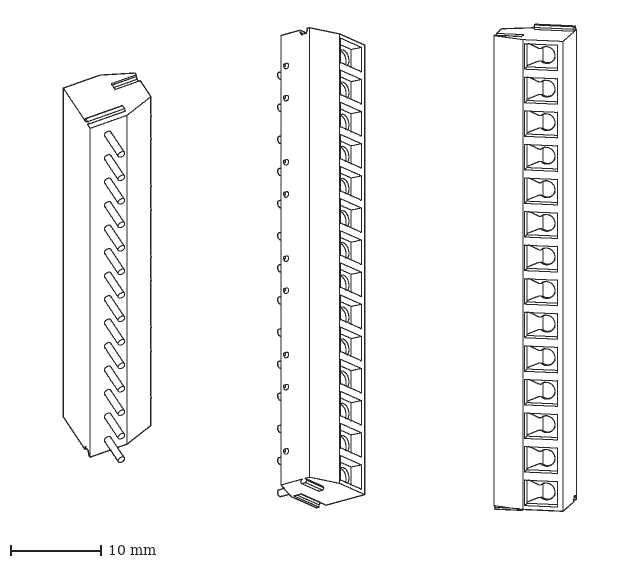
import cadquery as cq


poles = 14
body_height = 53.3
pitch = body_height / poles
body_width = 6.85
body_depth = 8.2
shoulder_y = 4.55
taper_inset = 1.4

pin_diameter = 0.8
pin_length = 3.5
pin_y = 2.2

window_height = 2.9
window_near_y = 0.65
window_floor_near_y = 0.8
window_far_y = 4.4
window_depth = 1.3

hole_radius = 0.95
funnel_mouth_height = 2.6
funnel_neck_height = 1.4
funnel_depth = 0.05
funnel_slope_end_y = 4.0
roll_off_y = 3.05
roll_off_radius = 0.355

ridge_height = 0.515
ridge_neck_width = 0.45
ridge_width = 0.85
ridge_tip_width = 0.55
ridge_widest_height = 0.25
groove_clearance = 0.05
near_rail_x = 6.0
far_rail_x = 2.25
far_rail_length = 3.1

nub_boundaries = (1, 2, 4, 5, 7, 8, 10, 11, 13)
nub_x = 4.7
nub_height = 0.3
nub_base_radius = 0.3
nub_tip_radius = 0.15


def make_body():
    outline = [
        (0, 0),
        (body_width, 0),
        (body_width, shoulder_y),
        (body_width - taper_inset, body_depth),
        (taper_inset, body_depth),
        (0, shoulder_y),
    ]
    return cq.Workplane("XY").polyline(outline).close().extrude(body_height)


def make_rail(x, y_start, y_end, base_z, half_profile):
    """Symmetric bar along Y on base_z, given by its (half width, signed height) points."""
    right_side = [(x + half_width, base_z + height) for half_width, height in half_profile]
    left_side = [(x - half_width, base_z + height) for half_width, height in reversed(half_profile)]
    profile = cq.Workplane("XZ", origin=(0, y_start, 0)).polyline(right_side + left_side).close()
    return profile.extrude(y_start - y_end)


def make_ridge(x, y_start, y_end, base_z, direction):
    """Mushroom-shaped bar that stands out in the given Z direction."""
    half_profile = [
        (ridge_neck_width / 2, 0),
        (ridge_width / 2, direction * ridge_widest_height),
        (ridge_tip_width / 2, direction * ridge_height),
    ]
    return make_rail(x, y_start, y_end, base_z, half_profile)


def make_groove(x, y_start, y_end, base_z, direction):
    """Channel with a straight mouth and a bevelled bottom that clears a ridge."""
    mouth = ridge_width / 2 + groove_clearance
    half_profile = [
        (mouth, 0),
        (mouth, direction * ridge_widest_height),
        (ridge_tip_width / 2 + groove_clearance, direction * (ridge_height + groove_clearance)),
    ]
    return make_rail(x, y_start, y_end, base_z, half_profile)


def make_window(z):
    """Pocket with a slanted wall on its -Y end."""
    outline = [
        (0, window_near_y),
        (window_depth, window_floor_near_y),
        (window_depth, window_far_y),
        (0, window_far_y),
    ]
    base = cq.Workplane("XY", origin=(0, 0, z - window_height / 2))
    return base.polyline(outline).close().extrude(window_height)


def make_entry_recess(z):
    """Funnel that slopes in from the +Y wall, then rounds down into the clamp hole."""
    funnel_x = window_depth + funnel_depth
    hole_x = funnel_x + roll_off_radius
    hole_near_y = pin_y - hole_radius

    section = (
        cq.Workplane("XY", origin=(0, 0, z - window_height / 2))
        .moveTo(window_depth, hole_near_y)
        .lineTo(hole_x, hole_near_y)
        .lineTo(hole_x, roll_off_y - roll_off_radius)
        .radiusArc((funnel_x, roll_off_y), roll_off_radius)
        .lineTo(funnel_x, funnel_slope_end_y)
        .lineTo(window_depth, window_far_y)
        .close()
        .extrude(window_height)
    )

    recess_depth = hole_x - window_depth
    floor = cq.Workplane("YZ", origin=(window_depth, 0, z))
    hole = floor.center(pin_y, 0).circle(hole_radius).extrude(recess_depth)
    funnel_outline = [
        (pin_y, -funnel_neck_height / 2),
        (roll_off_y, -funnel_neck_height / 2),
        (window_far_y, -funnel_mouth_height / 2),
        (window_far_y, funnel_mouth_height / 2),
        (roll_off_y, funnel_neck_height / 2),
        (pin_y, funnel_neck_height / 2),
    ]
    funnel = floor.polyline(funnel_outline).close().extrude(recess_depth)
    return section.intersect(hole.union(funnel))


def make_pin(z):
    base = cq.Workplane("YZ", origin=(body_width, pin_y, z))
    return base.circle(pin_diameter / 2).extrude(pin_length)


def make_nub(z):
    cone = cq.Solid.makeCone(
        nub_base_radius,
        nub_tip_radius,
        nub_height,
        pnt=cq.Vector(nub_x, body_depth, z),
        dir=cq.Vector(0, 1, 0),
    )
    return cq.Workplane(obj=cone)


result = make_body()

far_rail_start = body_depth - far_rail_length
result = result.cut(make_groove(far_rail_x, far_rail_start, body_depth, body_height, -1))
result = result.cut(make_groove(near_rail_x, 0, shoulder_y, 0, 1))

result = result.union(make_ridge(far_rail_x, far_rail_start, body_depth, 0, -1))
result = result.union(make_ridge(near_rail_x, 0, shoulder_y, body_height, 1))

for pole in range(poles):
    pole_z = (pole + 0.5) * pitch
    result = result.cut(make_window(pole_z))
    result = result.cut(make_entry_recess(pole_z))
    result = result.union(make_pin(pole_z))

for boundary in nub_boundaries:
    result = result.union(make_nub(body_height - boundary * pitch))